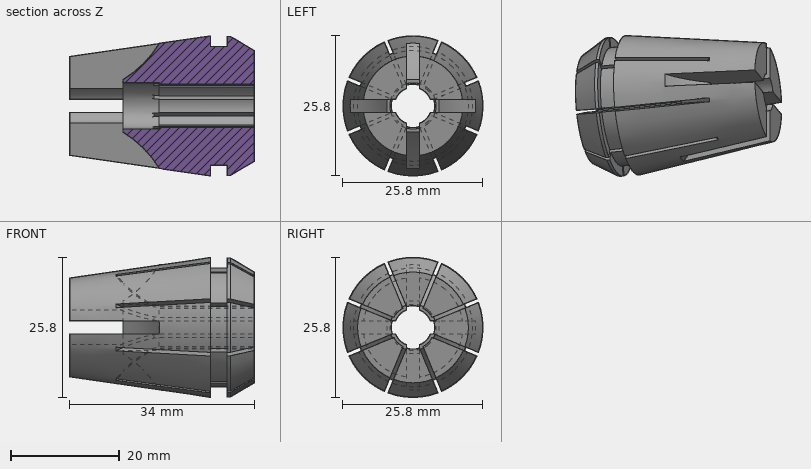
import cadquery as cq
import math


length = 34
jaw_face_radius = 9.18
cone_end_x = 25.95
cone_end_diameter = 25.8
cone_end_radius = cone_end_diameter / 2
groove_radius = 10.95
collar_x = 29.0
collar_radius = 12.82
collar_width = 0.58
end_face_radius = 10.2

jaw_bore_radius = 3.4
relief_radius = 4.25
relief_end_x = 16.5
grip_bore_radius = 3.98

cutter_radius = 20.0
cutter_axis_radius = 21.93
slot_floor_radius = cutter_axis_radius - cutter_radius
cut_overrun = 1.7

jaw_slot_count = 4
jaw_slot_width = 2.38
jaw_slot_end_x = 9.8
jaw_slot_shoulder_radius = 4.83

clamp_slot_count = 8
clamp_slot_width = 0.7
clamp_slot_start_x = 8.55
first_clamp_slot_angle = 180 / clamp_slot_count


def cone_radius(x):
    """Radius of the long outer cone at position x."""
    return jaw_face_radius + (cone_end_radius - jaw_face_radius) * x / cone_end_x


def cutter_reach(radius):
    """Distance along X from the cutter axis to its rim at the given part radius."""
    return math.sqrt(cutter_radius**2 - (cutter_axis_radius - radius) ** 2)


def collet_body():
    """Revolve the outline and the stepped bore about the X axis."""
    profile = (
        cq.Workplane("XY")
        .moveTo(0, jaw_bore_radius)
        .lineTo(0, jaw_face_radius)
        .lineTo(cone_end_x, cone_end_radius)
        .lineTo(cone_end_x, groove_radius)
        .lineTo(collar_x, groove_radius)
        .lineTo(collar_x, collar_radius)
        .lineTo(collar_x + collar_width, collar_radius)
        .lineTo(length, end_face_radius)
        .lineTo(length, grip_bore_radius)
        .lineTo(relief_end_x, grip_bore_radius)
        .lineTo(relief_end_x, relief_radius)
        .lineTo(jaw_slot_end_x, relief_radius)
        .lineTo(jaw_slot_end_x, jaw_bore_radius)
        .close()
    )
    return profile.revolve(360, (0, 0, 0), (1, 0, 0))


def jaw_slot():
    """Slot open at the jaw face, with a flat shoulder and a curved run-out to the cone."""
    top_radius = cone_end_radius + cut_overrun
    mid_radius = (jaw_slot_shoulder_radius + top_radius) / 2
    cutter_x = jaw_slot_end_x - cutter_reach(jaw_slot_shoulder_radius)
    return (
        cq.Workplane("XY")
        .moveTo(-cut_overrun, 0)
        .lineTo(jaw_slot_end_x, 0)
        .lineTo(jaw_slot_end_x, jaw_slot_shoulder_radius)
        .threePointArc(
            (cutter_x + cutter_reach(mid_radius), mid_radius),
            (cutter_x + cutter_reach(top_radius), top_radius),
        )
        .lineTo(-cut_overrun, top_radius)
        .close()
        .extrude(jaw_slot_width / 2, both=True)
    )


def clamp_slot():
    """Thin slot open at the clamping end, curving up from the bore to the cone."""
    top_radius = cone_end_radius + cut_overrun
    mid_radius = (slot_floor_radius + top_radius) / 2
    cutter_x = clamp_slot_start_x + cutter_reach(cone_radius(clamp_slot_start_x))
    return (
        cq.Workplane("XY")
        .moveTo(length + cut_overrun, slot_floor_radius)
        .lineTo(cutter_x, slot_floor_radius)
        .threePointArc(
            (cutter_x - cutter_reach(mid_radius), mid_radius),
            (cutter_x - cutter_reach(top_radius), top_radius),
        )
        .lineTo(length + cut_overrun, top_radius)
        .close()
        .extrude(clamp_slot_width / 2, both=True)
    )


def cut_around_axis(body, cutter, count, first_angle):
    """Cut evenly spaced copies of the cutter around the X axis."""
    for index in range(count):
        angle = first_angle + index * 360 / count
        body = body.cut(cutter.rotate((0, 0, 0), (1, 0, 0), angle))
    return body


result = collet_body()
result = cut_around_axis(result, jaw_slot(), jaw_slot_count, 0)
result = cut_around_axis(result, clamp_slot(), clamp_slot_count, first_clamp_slot_angle)